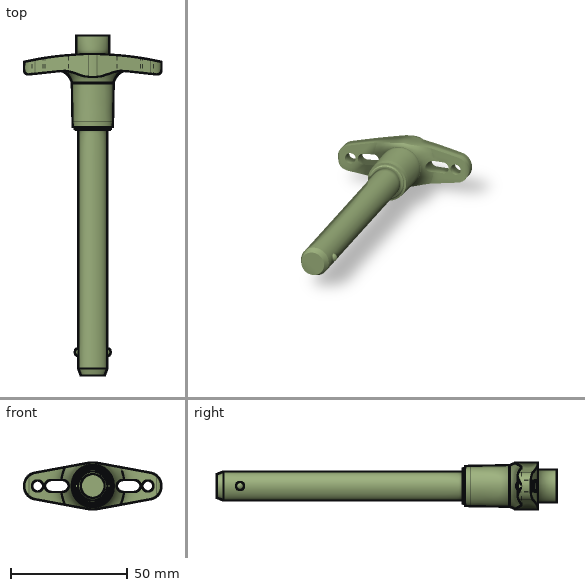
import cadquery as cq
import math

LENGTH = 146.3

BUTTON_R = 7.2
HANDLE_TOP_Y = LENGTH - 8.0
HANDLE_HALF_X = 29.5
HANDLE_HALF_Z = 20.3 / 2
CROWN_DROP = 3.4
WING_END_R = 5.9
WING_BOTTOM_Y = LENGTH - 17.1
WING_EDGE_R = 1.9
UNDERSIDE_PEAK_Y = LENGTH - 13.9
MID_EDGE_R = 10.2

HOLE_X = 23.7
HOLE_R = 2.3
SLOT_INNER_X = 10.4
SLOT_OUTER_X = 20.5
SLOT_WIDTH = 5.0

COLLAR_TOP_Y = LENGTH - 20.2
COLLAR_R = 9.0
COLLAR_LOW_Y = LENGTH - 37.2
COLLAR_LOW_R = 8.8
COLLAR_END_Y = LENGTH - 39.5
COLLAR_END_R = 8.6
FLARE_R = 16.5
FLARE_RIM_Y = LENGTH - 15.2
GROOVE_WIDTH = 0.5
GROOVE_DEPTH = 0.1
NOSE_END_Y = LENGTH - 40.7
NOSE_R = 7.8
NOSE_CHAMFER = 0.5

SHANK_R = 6.3
TIP_R = 5.1
TIP_LENGTH = 3.0
BALL_Y = 10.1
BALL_R = 1.8
BALL_REACH = 7.8


def revolve_about_y(profile):
    return profile.close().revolve(360, (0, 0, 0), (0, 1, 0))


def handle_outline():
    """Lozenge with rounded ends in XZ, extruded along the whole pin."""
    end_center_x = HANDLE_HALF_X - WING_END_R
    mid_center_z = HANDLE_HALF_Z - MID_EDGE_R
    slope = math.atan2(mid_center_z, end_center_x) + math.asin(
        (MID_EDGE_R - WING_END_R) / math.hypot(end_center_x, mid_center_z)
    )
    nx = math.sin(slope)
    nz = math.cos(slope)
    mid_x = MID_EDGE_R * nx
    mid_z = mid_center_z + MID_EDGE_R * nz
    end_x = end_center_x + WING_END_R * nx
    end_z = WING_END_R * nz
    return (
        cq.Workplane("XZ")
        .moveTo(-mid_x, mid_z)
        .threePointArc((0, HANDLE_HALF_Z), (mid_x, mid_z))
        .lineTo(end_x, end_z)
        .threePointArc((HANDLE_HALF_X, 0), (end_x, -end_z))
        .lineTo(mid_x, -mid_z)
        .threePointArc((0, -HANDLE_HALF_Z), (-mid_x, -mid_z))
        .lineTo(-end_x, -end_z)
        .threePointArc((-HANDLE_HALF_X, 0), (-end_x, end_z))
        .close()
        .extrude(-LENGTH)
    )


def arched_bar():
    """Side profile of the handle: arched top, drooping wings, rounded lower ends."""
    wing_top_y = HANDLE_TOP_Y - CROWN_DROP
    bar = (
        cq.Workplane("XY")
        .moveTo(-HANDLE_HALF_X, wing_top_y)
        .threePointArc((0, HANDLE_TOP_Y), (HANDLE_HALF_X, wing_top_y))
        .lineTo(HANDLE_HALF_X, WING_BOTTOM_Y)
        .lineTo(0, UNDERSIDE_PEAK_Y)
        .lineTo(-HANDLE_HALF_X, WING_BOTTOM_Y)
        .close()
        .extrude(HANDLE_HALF_Z, both=True)
    )
    margin = 0.1
    lower_ends = bar.edges("|Z").edges(cq.selectors.BoxSelector(
        (-2 * HANDLE_HALF_X, WING_BOTTOM_Y - margin, -margin),
        (2 * HANDLE_HALF_X, WING_BOTTOM_Y + margin, margin),
    ))
    return lower_ends.fillet(WING_EDGE_R)


def flare():
    """Concave blend from the handle underside into the collar."""
    width = FLARE_R - COLLAR_R
    height = FLARE_RIM_Y - COLLAR_TOP_Y
    bow = 1 - math.sqrt(0.5)
    middle = (COLLAR_R + width * bow, FLARE_RIM_Y - height * bow)
    base_y = (FLARE_RIM_Y + HANDLE_TOP_Y) / 2
    return revolve_about_y(
        cq.Workplane("XY")
        .moveTo(0, COLLAR_TOP_Y)
        .lineTo(COLLAR_R, COLLAR_TOP_Y)
        .threePointArc(middle, (FLARE_R, FLARE_RIM_Y))
        .lineTo(FLARE_R, base_y)
        .lineTo(0, base_y)
    )


def wing_openings():
    """Round hole and slot on both wings, cut right through along Y."""
    slot_x = (SLOT_INNER_X + SLOT_OUTER_X) / 2
    plane = cq.Workplane("XZ")
    holes = plane.pushPoints([(-HOLE_X, 0), (HOLE_X, 0)]).circle(HOLE_R).extrude(-LENGTH)
    slots = (
        plane.pushPoints([(-slot_x, 0), (slot_x, 0)])
        .slot2D(SLOT_OUTER_X - SLOT_INNER_X, SLOT_WIDTH)
        .extrude(-LENGTH)
    )
    return holes.union(slots)


def turned_body():
    """Shank, nose ring, tapered collar with its groove, and push button."""
    groove_r = COLLAR_R - GROOVE_DEPTH
    groove_y = COLLAR_TOP_Y - GROOVE_WIDTH
    return revolve_about_y(
        cq.Workplane("XY")
        .lineTo(TIP_R, 0)
        .lineTo(SHANK_R, TIP_LENGTH)
        .lineTo(SHANK_R, NOSE_END_Y)
        .lineTo(NOSE_R - NOSE_CHAMFER, NOSE_END_Y)
        .lineTo(NOSE_R, NOSE_END_Y + NOSE_CHAMFER)
        .lineTo(NOSE_R, COLLAR_END_Y)
        .lineTo(COLLAR_END_R, COLLAR_END_Y)
        .lineTo(COLLAR_LOW_R, COLLAR_LOW_Y)
        .lineTo(COLLAR_R, groove_y)
        .lineTo(groove_r, groove_y)
        .lineTo(groove_r, COLLAR_TOP_Y)
        .lineTo(BUTTON_R, COLLAR_TOP_Y)
        .lineTo(BUTTON_R, LENGTH)
        .lineTo(0, LENGTH)
    )


def locking_balls():
    ball_x = BALL_REACH - BALL_R
    plane = cq.Workplane("XY").pushPoints([(-ball_x, BALL_Y), (ball_x, BALL_Y)])
    return plane.sphere(BALL_R, direct=(1, 0, 0))


handle = arched_bar().union(flare()).intersect(handle_outline()).cut(wing_openings())
result = handle.union(turned_body()).union(locking_balls())